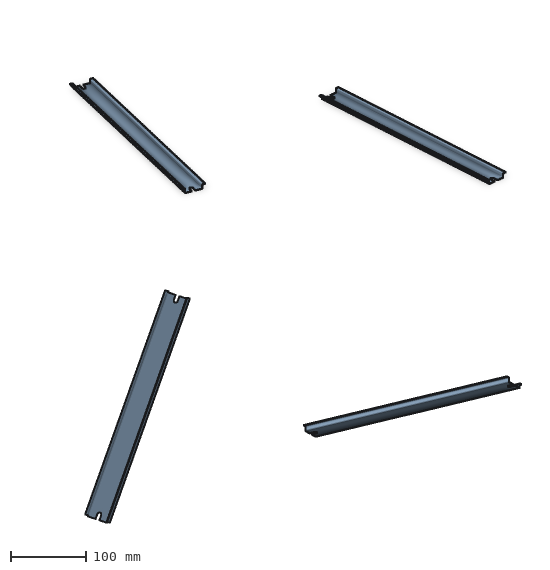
import cadquery as cq

length = 324.0
width = 35.0
height = 7.5

thickness = 1.0
channel_width = 27.0
inner_bend = 0.8
outer_bend = inner_bend + thickness

slot_width = 5.2
slot_depth = 10.0


def rail_profile():
    """Hat section centred on the YZ origin, standing on Z = 0."""
    half_outer = channel_width / 2
    half_inner = half_outer - thickness
    half_width = width / 2
    flange_bottom = height - thickness
    points = [
        (-half_width, height),
        (-half_inner, height),
        (-half_inner, thickness),
        (half_inner, thickness),
        (half_inner, height),
        (half_width, height),
        (half_width, flange_bottom),
        (half_outer, flange_bottom),
        (half_outer, 0),
        (-half_outer, 0),
        (-half_outer, flange_bottom),
        (-half_width, flange_bottom),
    ]
    return cq.Workplane("YZ").polyline(points).close()


def bend_edges(body, side, y, z):
    """Select the lengthwise edge at one corner of the section."""
    return body.edges(cq.selectors.NearestToPointSelector((0, side * y, z)))


def round_bends(body):
    """Round both sides of all four sheet bends with concentric radii."""
    half_outer = channel_width / 2
    half_inner = half_outer - thickness
    for side in (-1, 1):
        body = bend_edges(body, side, half_outer, 0).fillet(outer_bend)
        body = bend_edges(body, side, half_inner, thickness).fillet(inner_bend)
        body = bend_edges(body, side, half_inner, height).fillet(outer_bend)
        body = bend_edges(body, side, half_outer, height - thickness).fillet(inner_bend)
    return body


def end_slot(end):
    """Slot cutter through the floor, open at one end with a round inner end."""
    return (
        cq.Workplane("XY")
        .center(end * length / 2, 0)
        .slot2D(2 * slot_depth, slot_width)
        .extrude(height)
    )


result = round_bends(rail_profile().extrude(length / 2, both=True))
for end in (-1, 1):
    result = result.cut(end_slot(end))